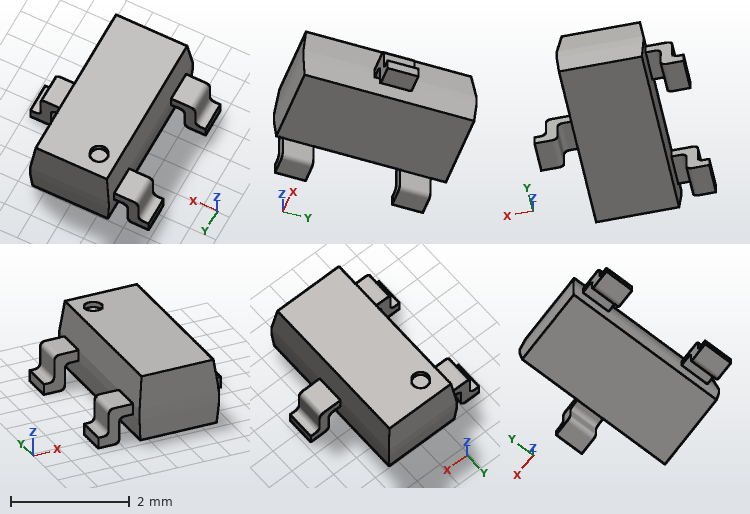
import cadquery as cq

body_length = 3.1
band_width = 1.495
top_inset = 0.07
bottom_inset = 0.03
body_bottom = 0.1
body_top = 1.3

lead_span = 2.8
lead_thickness = 0.2
lead_width = 0.55
lead_pitch = 2.1
lead_pair_shift = 0.025
lead_top = 0.7
lead_bend_radius = 0.095
foot_step = 0.195

mark_diameter = 0.315
mark_depth = 0.1
mark_x = -0.33
mark_y = 1.095

lead_underside = lead_top - lead_thickness


def body_section(z, inset):
    """Rectangular wire of the body at height z, inset on every side from the band."""
    section = cq.Workplane("XY", origin=(0, 0, z))
    section = section.rect(band_width - 2 * inset, body_length - 2 * inset)
    return section.wires().val()


def taper(z_low, inset_low, z_high, inset_high):
    """Straight-sided block between two body sections."""
    sections = [body_section(z_low, inset_low), body_section(z_high, inset_high)]
    return cq.Workplane(cq.Solid.makeLoft(sections, True))


def make_body():
    lower = taper(body_bottom, bottom_inset, lead_underside, 0)
    band = taper(lead_underside, 0, lead_top, 0)
    upper = taper(lead_top, 0, body_top, top_inset)
    return lower.union(band).union(upper)


def make_lead(side, y):
    """Gull-wing lead leaving the body toward +X (side = 1) or -X (side = -1)."""
    tip = lead_span / 2
    shank_outer = tip - foot_step
    shank_inner = shank_outer - lead_thickness
    outer_bends = [(shank_outer, lead_top), (shank_outer, lead_thickness)]
    inner_bends = [(shank_inner, 0), (shank_inner, lead_underside)]
    outline = [
        (0, lead_top),
        *outer_bends,
        (tip, lead_thickness),
        (tip, 0),
        *inner_bends,
        (0, lead_underside),
    ]
    lead = cq.Workplane("XZ").polyline(outline).close().extrude(lead_width / 2, both=True)
    for x, z in outer_bends + inner_bends:
        corner = cq.selectors.NearestToPointSelector((x, 0, z))
        lead = lead.edges("|Y").edges(corner).fillet(lead_bend_radius)
    if side < 0:
        lead = lead.mirror("YZ")
    return lead.translate((0, y, 0))


def make_mark():
    mark = cq.Workplane("XY", origin=(mark_x, mark_y, body_top))
    return mark.circle(mark_diameter / 2).extrude(-mark_depth)


lead_places = [
    (-1, lead_pair_shift + lead_pitch / 2),
    (-1, lead_pair_shift - lead_pitch / 2),
    (1, 0),
]

result = make_body()
for side, y in lead_places:
    result = result.union(make_lead(side, y))
result = result.cut(make_mark())